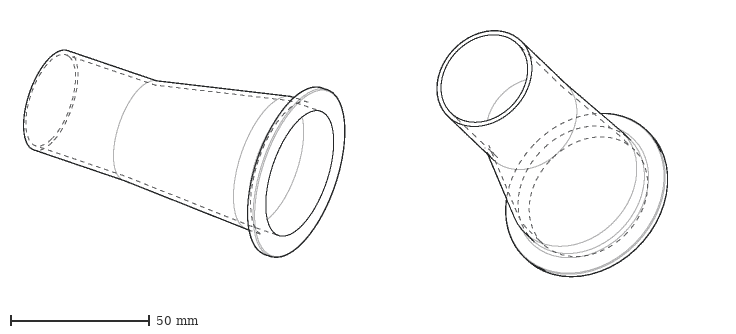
import cadquery as cq
import math

total_length = 101.6
small_outer_dia = 38.1
small_bore_dia = 34.7
large_outer_dia = 50.8
large_bore_dia = 47.5
flange_dia = 63.9

small_tube_length = 38.1
taper_length = 50.8
flange_slope = 20.0
flange_back_x = 98.8
neck_fillet = 1.5
rim_fillet = 0.4

taper_end_x = small_tube_length + taper_length
large_tube_length = total_length - taper_end_x
small_axis_y = (small_outer_dia - large_outer_dia) / 2


def reducer_body(small_dia, large_dia):
    """Solid small cylinder, eccentric taper and large cylinder in a row."""
    small_end = cq.Workplane("YZ").center(small_axis_y, 0).circle(small_dia / 2)
    small_tube = small_end.extrude(small_tube_length)
    taper = (
        cq.Workplane("YZ", origin=(small_tube_length, 0, 0))
        .center(small_axis_y, 0)
        .circle(small_dia / 2)
        .workplane(offset=taper_length)
        .center(-small_axis_y, 0)
        .circle(large_dia / 2)
        .loft(ruled=True)
    )
    large_tube = (
        cq.Workplane("YZ", origin=(taper_end_x, 0, 0))
        .circle(large_dia / 2)
        .extrude(large_tube_length)
    )
    return small_tube.union(taper).union(large_tube)


def ferrule():
    """Solid large tube end and sloped flange, turned about the X axis."""
    tube_radius = large_outer_dia / 2
    flange_radius = flange_dia / 2
    slope_run = (flange_radius - tube_radius) * math.tan(math.radians(flange_slope))
    neck_x = flange_back_x - slope_run

    turn = math.radians(90 - flange_slope)
    tangent_length = neck_fillet * math.tan(turn / 2)
    fillet_start = (neck_x - tangent_length, tube_radius)
    fillet_end = (
        neck_x + tangent_length * math.cos(turn),
        tube_radius + tangent_length * math.sin(turn),
    )
    fillet_middle = (
        fillet_start[0] + neck_fillet * math.sin(turn / 2),
        tube_radius + neck_fillet * (1 - math.cos(turn / 2)),
    )

    blank = (
        cq.Workplane("XY")
        .moveTo(taper_end_x, 0)
        .lineTo(taper_end_x, tube_radius)
        .lineTo(*fillet_start)
        .threePointArc(fillet_middle, fillet_end)
        .lineTo(flange_back_x, flange_radius)
        .lineTo(total_length, flange_radius)
        .lineTo(total_length, 0)
        .close()
        .revolve(360, (0, 0, 0), (1, 0, 0))
    )
    rim_edges = cq.selectors.RadiusNthSelector(-1)
    return blank.edges(rim_edges).fillet(rim_fillet)


outside = reducer_body(small_outer_dia, large_outer_dia).union(ferrule())
bore = reducer_body(small_bore_dia, large_bore_dia)
result = outside.cut(bore)